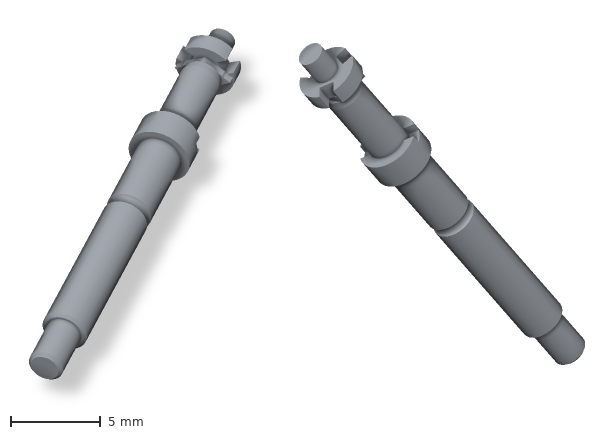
import cadquery as cq
import math

total_length = 28.0

plunger_radius = 1.0
plunger_length = 3.0
plunger_chamfer = 0.2
sleeve_radius = 1.32
sleeve_chamfer = 0.17

groove_start = 12.65
groove_width = 0.62
groove_depth = 0.2

collar_diameter = 3.6
collar_start = 18.0
collar_width = 1.8
collar_slot_width = 0.92
collar_slot_depth = 0.53

barrel_radius = 1.18
neck_radius = 1.1
neck_taper_length = 0.48

tail_radius = 0.75
tail_length = 1.7
disc_diameter = 3.5
disc_thickness = 1.05
key_thickness = 0.42

notch_count = 3
first_notch_angle = 30.0
notch_opening_angle = 30.0
notch_floor_distance = 0.98

key_half_height = 1.1
key_slope_angle = 30.0
key_shoulder_x = 1.18
key_step = 0.15
key_half_width = 1.65

collar_radius = collar_diameter / 2
disc_radius = disc_diameter / 2

collar_end = collar_start + collar_width
disc_end = total_length - tail_length
key_end = disc_end - disc_thickness
neck_end = key_end - key_thickness
barrel_end = neck_end - neck_taper_length


def extrude_along_y(sketch, start, length):
    """Extrude an XZ sketch made by sketch(workplane) toward +Y from a station."""
    plane = cq.Plane(origin=(0, start, 0), xDir=(1, 0, 0), normal=(0, -1, 0))
    return sketch(cq.Workplane(plane)).extrude(-length)


def turned_body():
    """Revolve the half profile, traced as (radius, station) points."""
    groove_bottom = (sleeve_radius - groove_depth, groove_start + groove_width / 2)
    half_profile = (
        cq.Workplane("XY")
        .lineTo(plunger_radius - plunger_chamfer, 0)
        .lineTo(plunger_radius, plunger_chamfer)
        .lineTo(plunger_radius, plunger_length)
        .lineTo(sleeve_radius - sleeve_chamfer, plunger_length)
        .lineTo(sleeve_radius, plunger_length + sleeve_chamfer)
        .lineTo(sleeve_radius, groove_start)
        .threePointArc(groove_bottom, (sleeve_radius, groove_start + groove_width))
        .lineTo(sleeve_radius, collar_start)
        .lineTo(barrel_radius, collar_start)
        .lineTo(barrel_radius, barrel_end)
        .lineTo(neck_radius, neck_end)
        .lineTo(tail_radius, neck_end)
        .lineTo(tail_radius, total_length)
        .lineTo(0, total_length)
        .close()
    )
    return half_profile.revolve(360, (0, 0, 0), (0, 1, 0))


def slotted_collar():
    """Collar ring whose +Y face is slotted across, from side to side."""
    ring = extrude_along_y(lambda wp: wp.circle(collar_radius), collar_start, collar_width)
    slot = extrude_along_y(
        lambda wp: wp.rect(collar_diameter, collar_slot_width),
        collar_end - collar_slot_depth,
        collar_slot_depth,
    )
    return ring.cut(slot)


def notched_disc():
    """Disc with equally spaced flat-bottomed notches in its rim."""
    disc = extrude_along_y(lambda wp: wp.circle(disc_radius), key_end, disc_thickness)
    notch_width = disc_diameter * math.sin(math.radians(notch_opening_angle / 2))
    notch_reach = disc_radius - notch_floor_distance
    notch_center = notch_floor_distance + notch_reach / 2
    notch = extrude_along_y(
        lambda wp: wp.center(notch_center, 0).rect(notch_reach, notch_width),
        key_end,
        disc_thickness,
    )
    for index in range(notch_count):
        angle = first_notch_angle + index * 360 / notch_count
        disc = disc.cut(notch.rotate((0, 0, 0), (0, 1, 0), -angle))
    return disc


def key_plate():
    """Plate mirrored about X = 0, with stepped upper flanks and plain lower flanks."""
    slope = math.radians(key_slope_angle)
    shoulder_z = key_half_height - key_shoulder_x * math.tan(slope)
    step_x = key_shoulder_x + key_step * math.sin(slope)
    step_z = shoulder_z - key_step * math.cos(slope)
    wing_tip_z = step_z - (key_half_width - step_x) * math.tan(slope)
    right_flank = [
        (key_shoulder_x, shoulder_z),
        (step_x, step_z),
        (key_half_width, wing_tip_z),
    ]
    left_flank = [(-x, z) for x, z in reversed(right_flank)]
    outline = [(0, key_half_height)] + right_flank + [(0, -key_half_height)] + left_flank
    return extrude_along_y(lambda wp: wp.polyline(outline).close(), neck_end, key_thickness)


result = turned_body().union(slotted_collar()).union(key_plate()).union(notched_disc())